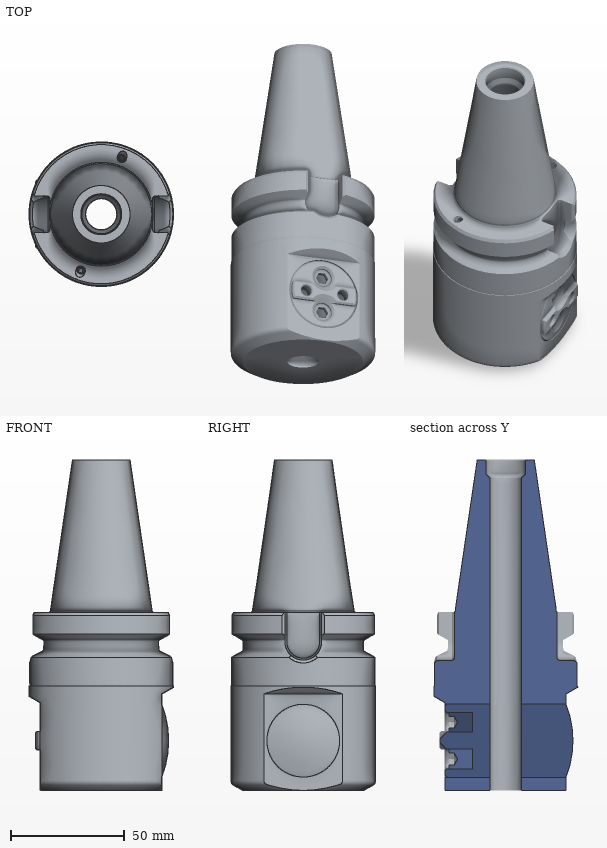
import cadquery as cq
import math

total_height = 145.4
taper_base_z = 80.0
flange_top_z = 78.4
groove_top_z = 68.9
collar_top_z = 58.6
head_top_z = 46.0

taper_tip_radius = 12.6
taper_base_radius = 22.2
flange_diameter = 63.0
flange_radius = flange_diameter / 2
groove_radius = 26.5
head_diameter = 63.5
head_radius = head_diameter / 2

flank_slope = math.tan(math.radians(30))
taper_foot_flare = 0.6
flange_chamfer_width = 0.9
flange_chamfer_height = 1.3
groove_fillet = 0.6
head_chamfer_height = 3.0
head_chamfer_fillet = 2.2

bore_radius = 6.8
counterbore_radius = 8.6
counterbore_depth = 6.3
bore_rim_chamfer = 0.5

slot_width = 16.1
slot_floor_x = 22.5
slot_end_z = 65.5
slot_floor_chamfer = 0.9
slot_rim_chamfer = 1.24

front_flat_x = 26.9
rear_flat_x = 26.6
front_flat_top_z = 38.7
rear_flat_top_z = 42.5

slide_z = 22.0
slide_radius = 16.0
slide_edge_chamfer = 0.9
slide_dome_height = 3.0
key_height = 2.0
key_width = 8.1
key_end_radius = 15.0
key_edge_chamfer = 0.7

clamp_screw_spacing = 16.1
clamp_screw_radius = 4.2
clamp_screw_length = 10.2
clamp_screw_depth = 1.9
clamp_seat_mouth_radius = 5.2
clamp_socket_width = 5.0
clamp_socket_depth = 2.3

key_hole_spacing = 17.0
key_hole_radius = 2.5
key_hole_depth = 5.8
key_hole_chamfer = 0.51

plug_circle_radius = 26.9
plug_angle = 70.0
plug_tilt = 35.0
plug_radius = 2.0
plug_length = 5.8
plug_depth = 1.5
plug_socket_width = 2.9
plug_socket_depth = 3.2
hole_overrun = 4.4

drill_tip_slope = math.tan(math.radians(30))
edge_margin = 0.1


def axial_cylinder(radius, start, end):
    """Cylinder about the local Z axis, between two heights."""
    return cq.Workplane("XY").workplane(offset=start).circle(radius).extrude(end - start)


def cone(bottom_radius, top_radius, bottom_z, top_z):
    """Cone frustum about the local Z axis."""
    height = top_z - bottom_z
    return cq.Workplane(obj=cq.Solid.makeCone(bottom_radius, top_radius, height, cq.Vector(0, 0, bottom_z)))


def place(shape, plane):
    """Move a shape from the origin to a plane, local Z along the plane's normal."""
    return shape.val().moved(cq.Location(plane))


def socket_screw(radius, length, depth, socket_width, socket_depth):
    """Headless screw below the local XY plane, with a hexagon socket that ends in a drill point."""
    screw = axial_cylinder(radius, -depth - length, -depth)
    corner_diameter = socket_width / math.cos(math.pi / 6)
    socket = cq.Workplane("XY").workplane(offset=-depth).polygon(6, corner_diameter).extrude(-socket_depth)
    tip_top = -depth - socket_depth
    tip_height = socket_width / 2 * drill_tip_slope
    tip = cone(0, socket_width / 2, tip_top - tip_height, tip_top)
    return screw.cut(socket).cut(tip)


def front_plane(x, y, z):
    """Plane that faces -X."""
    return cq.Plane((x, y, z), (0, 1, 0), (-1, 0, 0))


def plug_plane(angle):
    """Plane on the flange top whose normal leans outward from the Z axis."""
    radial_x = math.cos(math.radians(angle))
    radial_y = math.sin(math.radians(angle))
    lean = math.sin(math.radians(plug_tilt))
    rise = math.cos(math.radians(plug_tilt))
    return cq.Plane(
        (plug_circle_radius * radial_x, plug_circle_radius * radial_y, flange_top_z),
        (-radial_y, radial_x, 0),
        (lean * radial_x, lean * radial_y, rise),
    )


key_face_x = -front_flat_x - key_height
clamp_planes = [front_plane(-front_flat_x, 0, slide_z + side * clamp_screw_spacing / 2) for side in (1, -1)]
key_hole_planes = [front_plane(key_face_x, side * key_hole_spacing / 2, slide_z) for side in (1, -1)]
plug_planes = [plug_plane(plug_angle), plug_plane(plug_angle + 180)]


def level_edges(height, radius):
    """Selector for the circular edges about the Z axis at one height."""
    reach = radius + 1.5
    return cq.selectors.BoxSelector(
        (-reach, -reach, height - edge_margin), (reach, reach, height + edge_margin), boundingbox=True
    )


def turned_blank():
    flank_height = (flange_radius - groove_radius) * flank_slope
    upper_flank_z = groove_top_z - flank_height
    lower_flank_z = collar_top_z + flank_height
    head_bottom_radius = head_radius - head_chamfer_height / flank_slope
    blank = (
        cq.Workplane("XZ")
        .moveTo(0, 0)
        .lineTo(head_bottom_radius, 0)
        .lineTo(head_radius, head_chamfer_height)
        .lineTo(head_radius, head_top_z)
        .lineTo(flange_radius, head_top_z)
        .lineTo(flange_radius, collar_top_z)
        .lineTo(groove_radius, lower_flank_z)
        .lineTo(groove_radius, upper_flank_z)
        .lineTo(flange_radius, groove_top_z)
        .lineTo(flange_radius, flange_top_z - flange_chamfer_height)
        .lineTo(flange_radius - flange_chamfer_width, flange_top_z)
        .lineTo(taper_base_radius + taper_foot_flare, flange_top_z)
        .lineTo(taper_base_radius, flange_top_z + taper_foot_flare)
        .lineTo(taper_base_radius, taper_base_z)
        .lineTo(taper_tip_radius, total_height)
        .lineTo(0, total_height)
        .close()
        .revolve(360, (0, 0, 0), (0, 1, 0))
    )
    return (
        blank.edges(level_edges(head_chamfer_height, head_radius))
        .fillet(head_chamfer_fillet)
        .edges(level_edges(lower_flank_z, groove_radius))
        .fillet(groove_fillet)
        .edges(level_edges(upper_flank_z, groove_radius))
        .fillet(groove_fillet)
    )


def axial_bore():
    """Through bore with a counterbore at the taper tip, joined by a conical seat."""
    bore = axial_cylinder(bore_radius, 0, total_height)
    seat_z = total_height - counterbore_depth
    seat_height = counterbore_radius - bore_radius
    counterbore = axial_cylinder(counterbore_radius, seat_z, total_height)
    seat = cone(bore_radius, counterbore_radius, seat_z - seat_height, seat_z)
    rim_z = total_height - bore_rim_chamfer
    rim = cone(counterbore_radius, counterbore_radius + bore_rim_chamfer, rim_z, total_height)
    return bore.union(counterbore).union(seat).union(rim)


def drive_slot():
    """Cutter for the slot on the +X side, open at the top and rounded at the bottom."""
    half_width = slot_width / 2
    cutter = (
        cq.Workplane("YZ")
        .workplane(offset=slot_floor_x)
        .moveTo(-half_width, flange_top_z)
        .lineTo(-half_width, slot_end_z)
        .threePointArc((0, slot_end_z - half_width), (half_width, slot_end_z))
        .lineTo(half_width, flange_top_z)
        .close()
        .extrude(head_radius - slot_floor_x + 1.5)
    )
    return cutter.faces("<X").edges("not >Z").chamfer(slot_floor_chamfer)


def slot_rim_edges(side, bottom_z, top_z):
    """Selector for the slot edges on an outer cylinder; side is 1 for +X and -1 for -X."""
    near_x, far_x = sorted((side * (groove_radius + 1.5), side * (head_radius + 1.5)))
    reach = slot_width / 2 + edge_margin
    return cq.selectors.BoxSelector((near_x, -reach, bottom_z), (far_x, reach, top_z), boundingbox=True)


def head_flat(flat_distance, top_z):
    """Cutter for a flat on the +X side, ended at the top by a sloping shoulder."""
    outer_x = head_radius + 1.5
    shoulder_rise = (outer_x - flat_distance) * flank_slope
    return (
        cq.Workplane("XZ")
        .polyline([(flat_distance, 0), (outer_x, 0), (outer_x, top_z + shoulder_rise), (flat_distance, top_z)])
        .close()
        .extrude(head_radius, both=True)
    )


def turned_to_back(cutter):
    """The same cutter on the -X side."""
    return cutter.rotate((0, 0, 0), (0, 0, 1), 180)


def slide_pocket():
    """Straight bore that leaves a groove around the chamfered front edge of the slide."""
    return (
        cq.Workplane("YZ")
        .workplane(offset=-head_radius)
        .center(0, slide_z)
        .circle(slide_radius)
        .extrude(head_radius)
    )


def make_housing():
    housing = turned_blank().cut(drive_slot()).cut(turned_to_back(drive_slot()))
    flange_rim_top_z = flange_top_z - flange_chamfer_height
    for side in (1, -1):
        flange_rim = slot_rim_edges(side, groove_top_z - edge_margin, flange_rim_top_z + edge_margin)
        housing = housing.edges(flange_rim).chamfer(slot_rim_chamfer)
        collar_rim = slot_rim_edges(side, slot_end_z - slot_width / 2 - 1.5, collar_top_z + edge_margin)
        housing = housing.edges(collar_rim).chamfer(slot_rim_chamfer)
    housing = housing.cut(head_flat(rear_flat_x, rear_flat_top_z))
    housing = housing.cut(turned_to_back(head_flat(front_flat_x, front_flat_top_z)))
    housing = housing.cut(axial_bore()).cut(slide_envelope()).cut(slide_pocket())
    for plane in plug_planes:
        hole = axial_cylinder(plug_radius, -plug_depth - plug_length, hole_overrun)
        housing = housing.cut(cq.Workplane(obj=place(hole, plane)))
    return housing


def slide_envelope():
    """Round bar along X with a chamfered front edge and a spherical rear end."""
    dome_radius = (slide_radius**2 + slide_dome_height**2) / (2 * slide_dome_height)
    middle_angle = math.asin(slide_radius / dome_radius) / 2
    tip_x = rear_flat_x + slide_dome_height
    middle_x = tip_x - dome_radius * (1 - math.cos(middle_angle))
    return (
        cq.Workplane("XY")
        .moveTo(-front_flat_x, 0)
        .lineTo(-front_flat_x, slide_radius - slide_edge_chamfer)
        .lineTo(-front_flat_x + slide_edge_chamfer, slide_radius)
        .lineTo(rear_flat_x, slide_radius)
        .threePointArc((middle_x, dome_radius * math.sin(middle_angle)), (tip_x, 0))
        .close()
        .revolve(360, (0, 0, 0), (1, 0, 0))
        .translate((0, 0, slide_z))
    )


def slide_key():
    """Bar across the front face of the slide, rounded at its ends to a circle."""
    bar = cq.Workplane("YZ").rect(2 * slide_radius, key_width).extrude(-key_height)
    disc = cq.Workplane("YZ").circle(key_end_radius).extrude(-key_height)
    key = bar.intersect(disc).faces("<X").chamfer(key_edge_chamfer)
    return key.translate((-front_flat_x, 0, slide_z))


def clamp_seat():
    """Hole for a clamp screw, with a countersunk mouth that runs up through the key."""
    mouth_depth = clamp_seat_mouth_radius - clamp_screw_radius
    hole = axial_cylinder(clamp_screw_radius, -clamp_screw_depth - clamp_screw_length, key_height)
    top_radius = clamp_seat_mouth_radius + key_height
    return hole.union(cone(clamp_screw_radius, top_radius, -mouth_depth, key_height))


def key_hole():
    """Drilled hole with a chamfered mouth and a pointed end."""
    hole = axial_cylinder(key_hole_radius, -key_hole_depth, 0)
    tip_height = key_hole_radius * drill_tip_slope
    tip = cone(0, key_hole_radius, -key_hole_depth - tip_height, -key_hole_depth)
    mouth = cone(key_hole_radius, key_hole_radius + key_hole_chamfer, -key_hole_chamfer, 0)
    return hole.union(tip).union(mouth)


def make_slide():
    slide = slide_envelope().union(slide_key())
    slide = slide.cut(axial_cylinder(bore_radius, 0, head_top_z))
    for plane in clamp_planes:
        slide = slide.cut(cq.Workplane(obj=place(clamp_seat(), plane)))
    for plane in key_hole_planes:
        slide = slide.cut(cq.Workplane(obj=place(key_hole(), plane)))
    return slide


def make_clamp_screw():
    return socket_screw(
        clamp_screw_radius, clamp_screw_length, clamp_screw_depth, clamp_socket_width, clamp_socket_depth
    )


def make_plug():
    return socket_screw(plug_radius, plug_length, plug_depth, plug_socket_width, plug_socket_depth)


housing = make_housing()
slide = make_slide()
clamp_screws = [place(make_clamp_screw(), plane) for plane in clamp_planes]
plugs = [place(make_plug(), plane) for plane in plug_planes]

result = cq.Compound.makeCompound([housing.val(), slide.val(), *clamp_screws, *plugs])